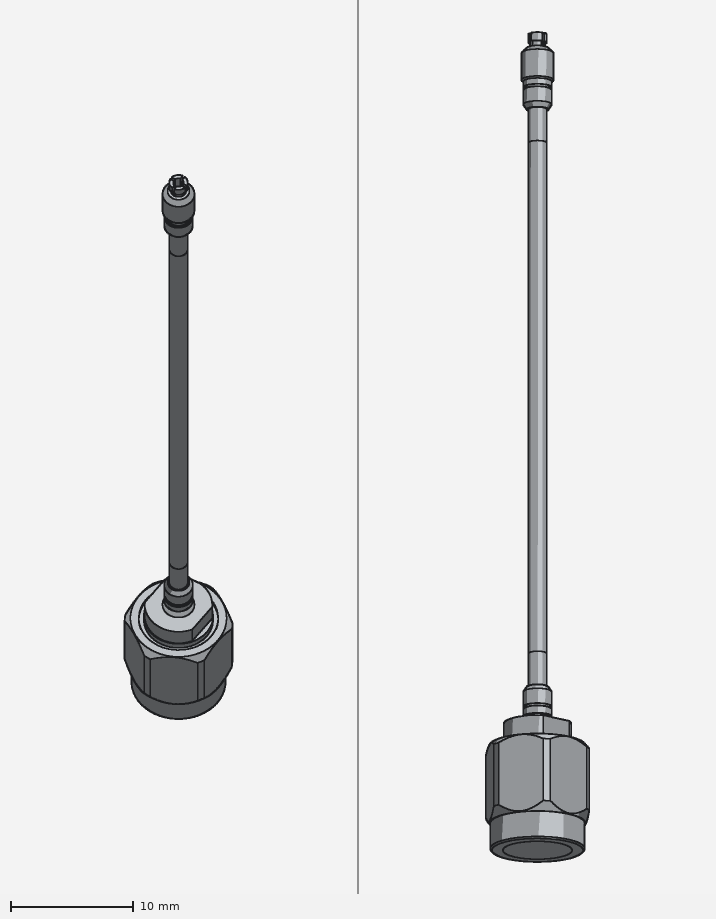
import cadquery as cq
import math


TOTAL_HEIGHT = 69.15

NUT_ACROSS_FLATS = 7.95
NUT_CORNER_RADIUS = 4.4
NUT_RIM_RADIUS = 3.95
NUT_SKIRT_RADIUS = 3.9
NUT_HEX_BOTTOM = 2.3
NUT_TOP = 8.85
NUT_TOP_CHAMFER_HEIGHT = 0.55
NUT_BOTTOM_CHAMFER_HEIGHT = 0.75
NUT_SKIRT_EDGE_CHAMFER = 0.15
NUT_RECESS_RADIUS = 3.25
NUT_RECESS_DEPTH = 0.3

BODY_RADIUS = 2.85
BODY_HEAD_RADIUS = 2.8
BODY_ACROSS_FLATS = 4.8
BODY_FLATS_BOTTOM = 9.1
BODY_TOP = 10.7
NECK_RADIUS = 1.0
NECK_FLARE_RADIUS = 1.3
NECK_FLARE_HEIGHT = 0.35
NECK_HEIGHT = 0.6

COLLAR_RADIUS = 1.2
SEAM_GROOVE_DEPTH = 0.1
SEAM_GROOVE_HEIGHT = 0.2
FERRULE_BASE_LOW = 12.2
FERRULE_BASE_HIGH = 64.45
FERRULE_HEAD_LENGTH = 1.65
FERRULE_SHOULDER_RADIUS = 0.9
FERRULE_SHOULDER_LENGTH = 0.4
FERRULE_TAIL_LENGTH = 2.85

CABLE_RADIUS = 0.75

BARREL_RADIUS = 1.3
BARREL_BOTTOM = 65.15
BARREL_CONE_BOTTOM = 67.6
BARREL_CONE_TOP_RADIUS = 0.9
BARREL_TOP = 68.0
BARREL_EDGE_CHAMFER = 0.15

FINGER_RADIUS = 0.6
LIP_RADIUS = 0.75
LIP_HEIGHT = 0.7
SOCKET_RADIUS = 0.4
SLOT_WIDTH = 0.2
FINGER_SLOTS = 2


def turned(profile):
    """Revolve (radius, height) points around the Z axis, closing the outline."""
    return cq.Workplane("XZ").polyline(profile).close().revolve(360, (0, 0), (0, 1))


def disc(radius, bottom, top):
    """Cylinder on the Z axis between two heights."""
    return cq.Workplane("XY").workplane(offset=bottom).circle(radius).extrude(top - bottom)


def make_coupling_nut():
    across_corners = NUT_ACROSS_FLATS / math.cos(math.pi / 6)
    hexagon = (
        cq.Workplane("XY")
        .workplane(offset=NUT_HEX_BOTTOM)
        .transformed(rotate=(0, 0, 90))
        .polygon(6, across_corners)
        .extrude(NUT_TOP - NUT_HEX_BOTTOM)
    )
    corner_trim = turned(
        [
            (0, NUT_HEX_BOTTOM),
            (NUT_RIM_RADIUS, NUT_HEX_BOTTOM),
            (NUT_CORNER_RADIUS, NUT_HEX_BOTTOM + NUT_BOTTOM_CHAMFER_HEIGHT),
            (NUT_CORNER_RADIUS, NUT_TOP - NUT_TOP_CHAMFER_HEIGHT),
            (NUT_RIM_RADIUS, NUT_TOP),
            (0, NUT_TOP),
        ]
    )
    skirt = disc(NUT_SKIRT_RADIUS, 0, NUT_HEX_BOTTOM).faces("<Z").chamfer(NUT_SKIRT_EDGE_CHAMFER)
    bore = disc(BODY_RADIUS, 0, NUT_TOP)
    recess = disc(NUT_RECESS_RADIUS, NUT_TOP - NUT_RECESS_DEPTH, NUT_TOP)
    return hexagon.intersect(corner_trim).union(skirt).cut(bore).cut(recess)


def make_screw_plug_body():
    barrel = disc(BODY_RADIUS, 0, BODY_FLATS_BOTTOM)
    wrench_flats = disc(BODY_HEAD_RADIUS, BODY_FLATS_BOTTOM, BODY_TOP).intersect(
        cq.Workplane("XY").box(BODY_ACROSS_FLATS, 2 * BODY_HEAD_RADIUS, 2 * BODY_TOP)
    )
    groove_radius = COLLAR_RADIUS - SEAM_GROOVE_DEPTH
    collar_bottom = BODY_TOP + NECK_HEIGHT
    collar_top = FERRULE_BASE_LOW - SEAM_GROOVE_HEIGHT
    neck_and_collar = turned(
        [
            (0, BODY_TOP),
            (NECK_FLARE_RADIUS, BODY_TOP),
            (NECK_RADIUS, BODY_TOP + NECK_FLARE_HEIGHT),
            (NECK_RADIUS, collar_bottom),
            (COLLAR_RADIUS, collar_bottom),
            (COLLAR_RADIUS, collar_top),
            (groove_radius, collar_top),
            (groove_radius, FERRULE_BASE_LOW),
            (0, FERRULE_BASE_LOW),
        ]
    )
    return barrel.union(wrench_flats).union(neck_and_collar)


def make_ferrule(base, direction):
    """Ferrule whose tail points up (direction 1) or down (direction -1) from its base."""
    cylinder_end = base + direction * (FERRULE_HEAD_LENGTH - FERRULE_SHOULDER_LENGTH)
    head_end = base + direction * FERRULE_HEAD_LENGTH
    tail_end = head_end + direction * FERRULE_TAIL_LENGTH
    return turned(
        [
            (0, base),
            (COLLAR_RADIUS, base),
            (COLLAR_RADIUS, cylinder_end),
            (FERRULE_SHOULDER_RADIUS, head_end),
            (CABLE_RADIUS, head_end),
            (CABLE_RADIUS, tail_end),
            (0, tail_end),
        ]
    )


def make_cable():
    ferrule_length = FERRULE_HEAD_LENGTH + FERRULE_TAIL_LENGTH
    return disc(CABLE_RADIUS, FERRULE_BASE_LOW + ferrule_length, FERRULE_BASE_HIGH - ferrule_length)


def make_snap_barrel():
    return turned(
        [
            (FINGER_RADIUS, BARREL_BOTTOM),
            (BARREL_RADIUS - BARREL_EDGE_CHAMFER, BARREL_BOTTOM),
            (BARREL_RADIUS, BARREL_BOTTOM + BARREL_EDGE_CHAMFER),
            (BARREL_RADIUS, BARREL_CONE_BOTTOM),
            (BARREL_CONE_TOP_RADIUS, BARREL_TOP),
            (FINGER_RADIUS, BARREL_TOP),
        ]
    )


def make_snap_contact():
    groove_radius = COLLAR_RADIUS - SEAM_GROOVE_DEPTH
    collar_bottom = FERRULE_BASE_HIGH + SEAM_GROOVE_HEIGHT
    lip_bottom = TOTAL_HEIGHT - LIP_HEIGHT
    contact = turned(
        [
            (0, FERRULE_BASE_HIGH),
            (groove_radius, FERRULE_BASE_HIGH),
            (groove_radius, collar_bottom),
            (COLLAR_RADIUS, collar_bottom),
            (COLLAR_RADIUS, BARREL_BOTTOM),
            (FINGER_RADIUS, BARREL_BOTTOM),
            (FINGER_RADIUS, lip_bottom),
            (LIP_RADIUS, lip_bottom),
            (LIP_RADIUS, TOTAL_HEIGHT),
            (0, TOTAL_HEIGHT),
        ]
    )
    contact = contact.cut(disc(SOCKET_RADIUS, BARREL_TOP, TOTAL_HEIGHT))
    slot = (
        cq.Workplane("XY")
        .workplane(offset=BARREL_TOP)
        .rect(2 * LIP_RADIUS, SLOT_WIDTH)
        .extrude(TOTAL_HEIGHT - BARREL_TOP)
    )
    for index in range(FINGER_SLOTS):
        contact = contact.cut(slot.rotate((0, 0, 0), (0, 0, 1), index * 180 / FINGER_SLOTS))
    return contact


coupling_nut = make_coupling_nut()
screw_plug_body = make_screw_plug_body()
ferrules = [
    make_ferrule(base, direction)
    for base, direction in ((FERRULE_BASE_LOW, 1), (FERRULE_BASE_HIGH, -1))
]
cable = make_cable()
snap_barrel = make_snap_barrel()
snap_contact = make_snap_contact()

result = cq.Compound.makeCompound(
    [
        coupling_nut.val(),
        screw_plug_body.val(),
        *[ferrule.val() for ferrule in ferrules],
        cable.val(),
        snap_barrel.val(),
        snap_contact.val(),
    ]
)